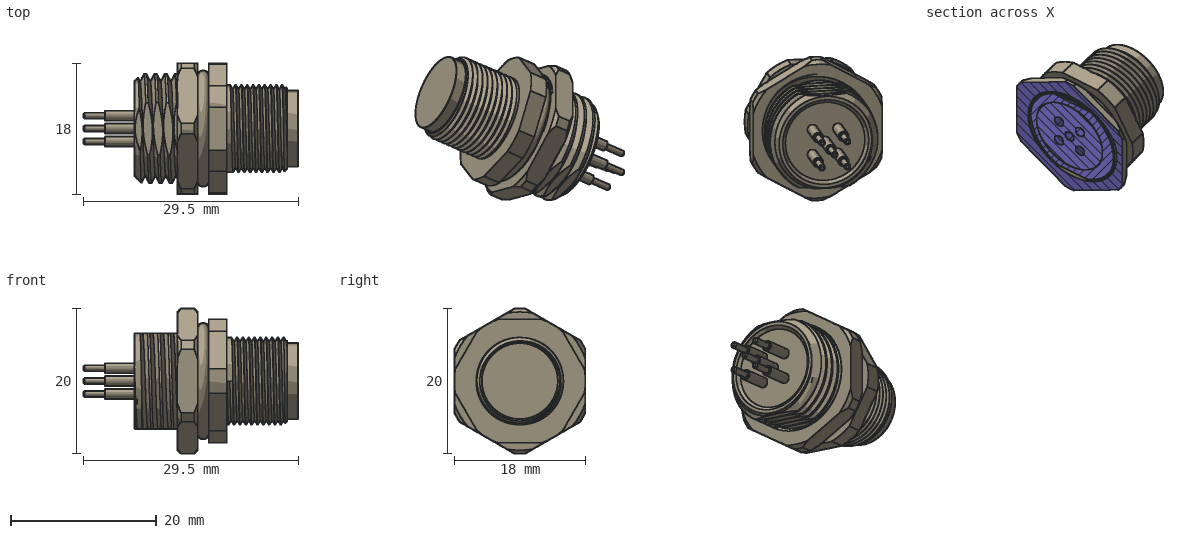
import cadquery as cq
import math


rear_length = 10.2
flange_thickness = 2.5
front_thread_length = 8.3
tip_length = 1.5
shell_rear_x = -rear_length
front_thread_end_x = flange_thickness + front_thread_length
tip_end_x = front_thread_end_x + tip_length

flange_across_flats = 17.0
flange_corner_radius = 9.0
rear_thread_radius = 7.5
rear_entry_chamfer = 1.0
flat_half_height = 6.6
neck_radius = 6.4
front_thread_radius = 6.0
front_thread_chamfer = 0.5
tip_radius = 5.25
tip_chamfer = 0.05

rear_pitch = 1.41
rear_root_radius = 6.45
rear_groove_width = 1.08
rear_root_x = shell_rear_x + 0.78

front_pitch = 0.8
front_root_radius = 5.42
front_groove_width = 0.74
front_groove_start_x = flange_thickness + front_pitch / 2

lead_turns = 2
rod_margin = 2.0
cutter_overrun = 0.03
chamfer_ring_overrun = 0.5
chamfer_ring_reach = 1.5

o_ring_section_radius = 0.75
o_ring_outer_radius = 8.0
nut_thickness = 2.8
nut_across_flats = 18.0
nut_corner_radius = 10.0
nut_corner_chamfer = 0.5
nut_bore_radius = 7.0
nut_bore_chamfer = 0.5
nut_groove_radius = 8.1
nut_front_x = -2 * o_ring_section_radius
nut_rear_x = nut_front_x - nut_thickness

insert_radius = 5.55
insert_recess = 0.4
countersink_radius = 6.0
insert_rear_x = shell_rear_x + insert_recess

pin_tip_x = shell_rear_x - 7.0
sleeve_end_x = shell_rear_x - 4.05
sleeve_radius = 0.7
sleeve_chamfer = 0.08
solder_radius = 0.425
solder_chamfer = 0.2
pin_offset = 1.775
pin_places = [(0, 0)] + [(y, z) for y in (-pin_offset, pin_offset) for z in (-pin_offset, pin_offset)]


def turned(points):
    """Solid of revolution about X from (x, radius) points."""
    return cq.Workplane("XY").polyline(points).close().revolve(360, (0, 0, 0), (1, 0, 0))


def cylinder(radius, start_x, end_x):
    return cq.Workplane("YZ", origin=(start_x, 0, 0)).circle(radius).extrude(end_x - start_x)


def hexagon(across_flats, start_x, end_x, turn=0):
    """Hexagonal prism along X; with no turn its corners point along +Y and -Y."""
    across_corners = across_flats / math.cos(math.pi / 6)
    prism = cq.Workplane("YZ", origin=(start_x, 0, 0)).polygon(6, across_corners)
    return prism.extrude(end_x - start_x).rotate((0, 0, 0), (1, 0, 0), turn)


def helical_cutter(apex_radius, base_radius, base_width, pitch, start_x, turns, start_angle):
    """Right-handed triangular cutter; start_angle is measured from +Y toward +Z."""
    profile = [
        (apex_radius, 0),
        (base_radius, base_width / 2),
        (base_radius, -base_width / 2),
    ]
    path = cq.Workplane(cq.Wire.makeHelix(pitch, pitch * turns, base_radius))
    cutter = cq.Workplane("XZ").polyline(profile).close().sweep(path, isFrenet=True)
    cutter = cutter.rotate((0, 0, 0), (0, 1, 0), 90)
    cutter = cutter.rotate((0, 0, 0), (1, 0, 0), 90 + start_angle)
    return cutter.translate((start_x, 0, 0))


def threaded_rod(root_radius, crest_radius, groove_width, pitch, start_x, turns, start_angle):
    """Round rod that carries an external thread groove and reaches past both of its ends."""
    base_radius = crest_radius + cutter_overrun
    base_width = groove_width * (base_radius - root_radius) / (crest_radius - root_radius)
    rod = cylinder(crest_radius, start_x - rod_margin, start_x + pitch * turns + rod_margin)
    return rod.cut(helical_cutter(
        root_radius, base_radius, base_width, pitch, start_x, turns, start_angle))


def trimmed(rod, start_x, end_x, half_height):
    """The part of a rod between two X planes and between flats at +Z and -Z."""
    block = cq.Workplane("XY", origin=((start_x + end_x) / 2, 0, 0))
    return rod.intersect(block.box(end_x - start_x, 4 * half_height, 2 * half_height))


def chamfer_ring(end_x, end_radius, inward):
    """Ring that cuts a 45 degree chamfer; inward is +1 or -1, the X direction into the part."""
    outside_x = end_x - inward * chamfer_ring_overrun
    inside_x = end_x + inward * chamfer_ring_reach
    outer_radius = end_radius + chamfer_ring_reach
    return turned([
        (outside_x, end_radius - chamfer_ring_overrun),
        (inside_x, outer_radius),
        (outside_x, outer_radius),
    ])


def make_rear_section():
    """Rear threaded barrel with two flats and the neck for the O-ring."""
    start_x = rear_root_x - lead_turns * rear_pitch
    turns = math.ceil((nut_front_x - start_x) / rear_pitch) + lead_turns
    barrel = threaded_rod(
        rear_root_radius, rear_thread_radius, rear_groove_width, rear_pitch, start_x, turns, 0)
    barrel = trimmed(barrel, shell_rear_x, nut_front_x, flat_half_height)
    barrel = barrel.cut(chamfer_ring(shell_rear_x, rear_thread_radius - rear_entry_chamfer, 1))
    return barrel.union(cylinder(neck_radius, nut_front_x, 0))


def make_front_section():
    """Front threaded barrel with its smooth tip."""
    thread_length = front_thread_end_x - front_groove_start_x
    turns = math.ceil(thread_length / front_pitch) + lead_turns
    barrel = threaded_rod(
        front_root_radius, front_thread_radius, front_groove_width, front_pitch,
        front_groove_start_x, turns, 180)
    barrel = trimmed(barrel, flange_thickness, front_thread_end_x, 2 * front_thread_radius)
    barrel = barrel.cut(chamfer_ring(
        front_thread_end_x, front_thread_radius - front_thread_chamfer, -1))
    tip = cylinder(tip_radius, front_thread_end_x, tip_end_x)
    return barrel.union(tip.faces(">X").chamfer(tip_chamfer))


def make_shell():
    flange = hexagon(flange_across_flats, 0, flange_thickness)
    flange = flange.intersect(cylinder(flange_corner_radius, 0, flange_thickness))
    shell = flange.union(make_rear_section()).union(make_front_section())
    bore = turned([
        (shell_rear_x, 0),
        (shell_rear_x, countersink_radius),
        (insert_rear_x, insert_radius),
        (0, insert_radius),
        (0, 0),
    ])
    return shell.cut(bore)


def make_nut_thread():
    """Round blank with an internal thread groove, longer than the nut at both ends."""
    flank_slope = rear_groove_width / (rear_thread_radius - rear_root_radius)
    base_radius = nut_bore_radius - cutter_overrun
    base_width = flank_slope * (nut_groove_radius - base_radius)
    first_crest_x = rear_root_x + rear_pitch / 2
    crests_before_nut = math.floor((nut_rear_x - first_crest_x) / rear_pitch)
    start_x = first_crest_x + (crests_before_nut - lead_turns) * rear_pitch
    turns = math.ceil((nut_front_x - start_x) / rear_pitch) + lead_turns
    blank_rear_x = start_x - rod_margin
    blank_front_x = start_x + turns * rear_pitch + rod_margin
    blank = cylinder(nut_across_flats, blank_rear_x, blank_front_x)
    blank = blank.cut(helical_cutter(
        nut_groove_radius, base_radius, base_width, rear_pitch, start_x, turns, 0))
    return blank.cut(cylinder(nut_bore_radius, blank_rear_x, blank_front_x))


def bore_entry_cone(end_x, inward):
    """45 degree cone that opens the nut bore; inward is +1 or -1, the X direction into the nut."""
    entry_radius = nut_bore_radius + nut_bore_chamfer
    return turned([
        (end_x - inward * cutter_overrun, 0),
        (end_x - inward * cutter_overrun, entry_radius + cutter_overrun),
        (end_x + inward * entry_radius, 0),
    ])


def make_nut():
    """Hexagon nut with flats facing +Y and -Y, chamfered corners and a threaded bore."""
    round_blank = cylinder(nut_corner_radius, nut_rear_x, nut_front_x)
    round_blank = round_blank.faces("<X or >X").chamfer(nut_corner_chamfer)
    blank = hexagon(nut_across_flats, nut_rear_x, nut_front_x, 30).intersect(round_blank)
    nut = make_nut_thread().intersect(blank)
    return nut.cut(bore_entry_cone(nut_rear_x, 1)).cut(bore_entry_cone(nut_front_x, -1))


def make_o_ring():
    ring_radius = o_ring_outer_radius - o_ring_section_radius
    section = cq.Workplane("XY").center(-o_ring_section_radius, ring_radius).circle(o_ring_section_radius)
    return section.revolve(360, (0, -ring_radius, 0), (1, -ring_radius, 0))


def make_insert():
    insert = cylinder(insert_radius, insert_rear_x, 0)
    for y, z in pin_places:
        insert = insert.cut(cylinder(sleeve_radius, insert_rear_x, 0).translate((0, y, z)))
    return insert


def make_pin(y, z):
    """Pin running from its chamfered solder end to the floor of the shell bore."""
    pin = turned([
        (pin_tip_x, 0),
        (pin_tip_x, solder_radius - solder_chamfer),
        (pin_tip_x + solder_chamfer, solder_radius),
        (sleeve_end_x, solder_radius),
        (sleeve_end_x, sleeve_radius - sleeve_chamfer),
        (sleeve_end_x + sleeve_chamfer, sleeve_radius),
        (0, sleeve_radius),
        (0, 0),
    ])
    return pin.translate((0, y, z))


shell = make_shell()
nut = make_nut()
o_ring = make_o_ring()
insert = make_insert()
pins = [make_pin(y, z) for y, z in pin_places]

result = cq.Compound.makeCompound(
    [shell.val(), nut.val(), o_ring.val(), insert.val()] + [pin.val() for pin in pins]
)